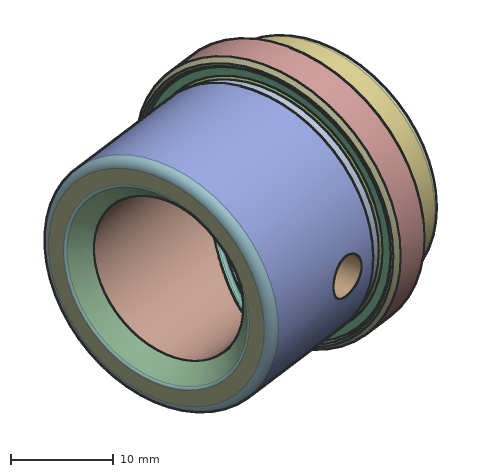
import cadquery as cq
import math

length = 28.0
body_radius = 14.0
end_round = 1.0

collar_radius = 16.0
collar_width = 5.0
collar_back_inset = 5.0
collar_back = length - collar_back_inset
collar_front = collar_back - collar_width
collar_chamfer = 0.5
neck_radius = 13.73
neck_width = 1.0
neck_chamfer = body_radius - neck_radius

bore_radius = 9.0
mouth_radius = 11.0
mouth_depth = 2.0
mouth_round = 0.48

recess_rim_radius = 15.2
recess_floor_radius = 14.98
recess_inner_radius = 14.0
recess_depth = 0.22

groove_section_radius = 0.45
groove_center = length / 2
groove_slope = 0.76

hole_diameter = 4.67
hole_center = 12.48


def disc(radius, start, width):
    """Cylinder on the Y axis covering start to start + width."""
    plane = cq.Plane(origin=(0, start, 0), xDir=(1, 0, 0), normal=(0, 1, 0))
    return cq.Workplane(plane).circle(radius).extrude(width)


def make_outside():
    neck_front = collar_front - neck_width
    front = disc(body_radius, 0, neck_front)
    front = front.faces("<Y").edges().fillet(end_round)
    front = front.faces(">Y").edges().chamfer(neck_chamfer)
    neck = disc(neck_radius, neck_front, neck_width)
    collar = disc(collar_radius, collar_front, collar_width)
    collar = collar.faces("<Y or >Y").edges().chamfer(collar_chamfer)
    back = disc(body_radius, collar_back, length - collar_back)
    back = back.faces(">Y").edges().fillet(end_round)
    return front.union(neck).union(collar).union(back)


def make_bore():
    """Through bore that flares to a cone at both ends."""
    profile = (
        cq.Workplane("XY")
        .lineTo(mouth_radius, 0)
        .lineTo(bore_radius, mouth_depth)
        .lineTo(bore_radius, length - mouth_depth)
        .lineTo(mouth_radius, length)
        .lineTo(0, length)
        .close()
    )
    return profile.revolve(360, (0, 0, 0), (0, 1, 0))


def round_mouths(part):
    mouths = cq.selectors.RadiusNthSelector(0)
    for end in ("<Y", ">Y"):
        part = part.faces(end).edges(mouths).fillet(mouth_round)
    return part


def make_collar_recess():
    recess_floor = collar_front + recess_depth
    profile = (
        cq.Workplane("XY")
        .moveTo(neck_radius, collar_front)
        .lineTo(recess_rim_radius, collar_front)
        .lineTo(recess_floor_radius, recess_floor)
        .lineTo(recess_inner_radius, recess_floor)
        .close()
    )
    return profile.revolve(360, (0, 0, 0), (0, 1, 0))


def make_groove():
    """Round bar swept along the ellipse where the tilted plane meets the bore."""
    tilted = cq.Plane(
        origin=(0, groove_center, 0),
        xDir=(1, -groove_slope, 0),
        normal=(groove_slope, 1, 0),
    )
    long_radius = bore_radius * math.hypot(1, groove_slope)
    path = cq.Workplane(tilted).ellipse(long_radius, bore_radius)
    start = cq.Plane(
        origin=(bore_radius, groove_center - groove_slope * bore_radius, 0),
        xDir=(1, -groove_slope, 0),
        normal=(0, 0, 1),
    )
    return cq.Workplane(start).circle(groove_section_radius).sweep(path)


def make_radial_hole():
    """Hole through the +X wall only."""
    return (
        cq.Workplane("YZ")
        .center(hole_center, 0)
        .circle(hole_diameter / 2)
        .extrude(collar_radius)
    )


result = round_mouths(make_outside().cut(make_bore()))
result = result.cut(make_collar_recess()).cut(make_groove()).cut(make_radial_hole())